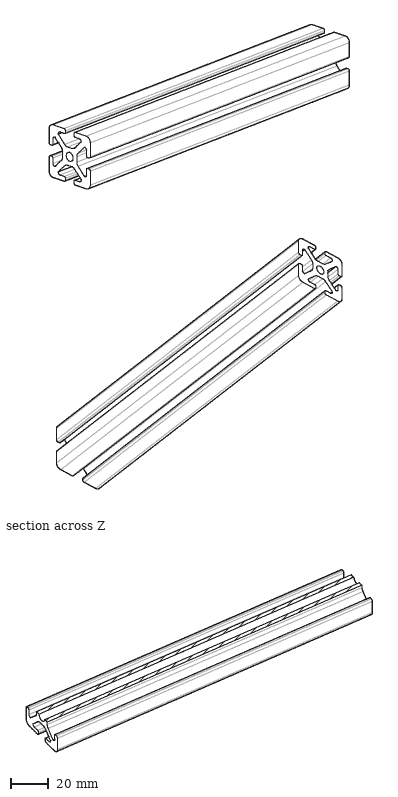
import cadquery as cq

length = 200.0
width = 30.0
corner_radius = 3.0
bore_diameter = 5.0
side_count = 4

slot_opening = 6.2
lip_thickness = 2.8
lip_outer_radius = 1.0
lip_inner_radius = 0.8
cavity_width = 16.5
cavity_corner_radius = 1.2
core_width = 10.5
core_blend_radius = 3.0
web_offset = 2.5

half_width = width / 2
half_opening = slot_opening / 2
half_cavity = cavity_width / 2
core_face = core_width / 2
half_core_face = core_face - web_offset
web_end = half_cavity + web_offset
cavity_roof = half_width - lip_thickness


def extrude_section(section):
    """Extrude an XZ section over the full length, centred on Y = 0."""
    return section.extrude(length / 2, both=True)


def fillet_pair(body, x, z, radius):
    """Round the two lengthwise edges at (x, z) and (-x, z)."""
    left = body.edges(cq.selectors.NearestToPointSelector((-x, 0, z)))
    right = body.edges(cq.selectors.NearestToPointSelector((x, 0, z)))
    return left.add(right).fillet(radius)


def make_bar():
    """Solid square bar with rounded lengthwise edges."""
    bar = extrude_section(cq.Workplane("XZ").rect(width, width))
    return bar.edges("|Y").fillet(corner_radius)


def make_slot():
    """Volume removed by the slot on the +Z side."""
    right_half = [
        (half_core_face, core_face),
        (half_cavity, web_end),
        (half_cavity, cavity_roof),
        (half_opening, cavity_roof),
        (half_opening, half_width),
    ]
    left_half = [(-x, z) for x, z in reversed(right_half)]
    slot = extrude_section(cq.Workplane("XZ").polyline(right_half + left_half).close())
    slot = fillet_pair(slot, half_core_face, core_face, core_blend_radius)
    return fillet_pair(slot, half_cavity, cavity_roof, cavity_corner_radius)


def cut_top_slot(body, slot):
    """Cut the slot on the +Z side and round the lips beside its opening."""
    body = body.cut(slot)
    body = fillet_pair(body, half_opening, cavity_roof, lip_inner_radius)
    return fillet_pair(body, half_opening, half_width, lip_outer_radius)


def make_bore():
    """Volume of the central hole, running the full length."""
    return extrude_section(cq.Workplane("XZ").circle(bore_diameter / 2))


profile = make_bar()
slot = make_slot()
for _ in range(side_count):
    profile = cut_top_slot(profile, slot).rotate((0, 0, 0), (0, 1, 0), 360 / side_count)

result = profile.cut(make_bore())